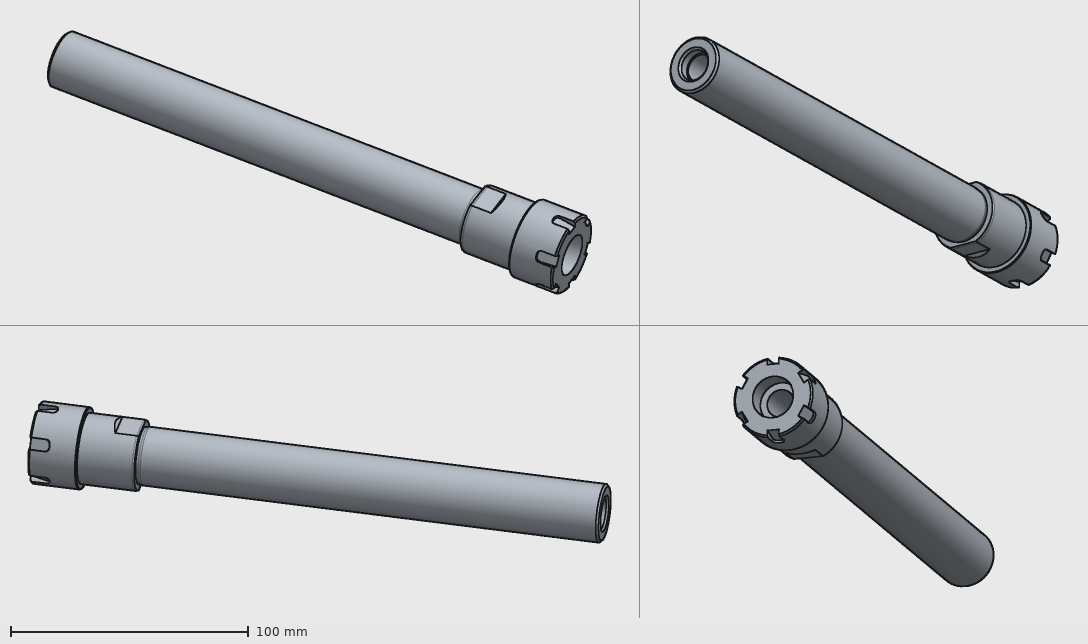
import cadquery as cq
import math

total_length = 245.0
nut_length = 20.8
collar_length = 24.5
nut_rear_x = total_length - nut_length
collar_rear_x = nut_rear_x - collar_length

shank_diameter = 25.0
shank_chamfer = 1.0
groove_diameter = 24.5
groove_width = 2.0
groove_bevel_length = 1.0
collar_diameter = 30.5
collar_bevel_length = 1.0
collar_bevel_height = 0.2
nose_diameter = 26.0
nose_length = 11.0
flat_spacing = 27.5
flat_length = 10.0
flat_runout_angle = 45.0

bore_diameter = 12.0
counterbore_diameter = 13.5
counterbore_depth = 5.0
mouth_diameter = 15.5
mouth_depth = 1.0

nut_diameter = 35.0
nut_rear_bevel_length = 0.5
nut_rear_bevel_height = 0.2
nut_front_chamfer = 0.7
nut_opening_diameter = 18.1
slot_count = 6
slot_width = 5.1
slot_length = 8.8
slot_floor_front_diameter = 29.0
slot_floor_rear_diameter = 32.8
slot_corner_radius = 2.0


def revolve_profile(points):
    """Revolve a closed (x, radius) outline about the X axis."""
    outline = cq.Workplane("XY").polyline(points).close()
    return outline.revolve(360, (0, 0, 0), (1, 0, 0))


def make_holder_blank():
    shank_radius = shank_diameter / 2
    groove_radius = groove_diameter / 2
    nose_radius = nose_diameter / 2
    groove_start_x = collar_rear_x - groove_width
    nose_end_x = nut_rear_x + nose_length
    return revolve_profile([
        (0, 0),
        (0, shank_radius - shank_chamfer),
        (shank_chamfer, shank_radius),
        (groove_start_x, shank_radius),
        (groove_start_x + groove_bevel_length, groove_radius),
        (collar_rear_x, groove_radius),
        (collar_rear_x, collar_diameter / 2),
        (nut_rear_x, collar_diameter / 2),
        (nut_rear_x, nose_radius),
        (nose_end_x, nose_radius),
        (nose_end_x, 0),
    ])


def make_flat_cutter():
    """Cutter for the upper spanner flat, ending in a sloped run-out."""
    flat_z = flat_spacing / 2
    top_z = collar_diameter
    flat_end_x = collar_rear_x + flat_length
    runout_length = (top_z - flat_z) / math.tan(math.radians(flat_runout_angle))
    outline = cq.Workplane("XZ").polyline([
        (collar_rear_x, flat_z),
        (flat_end_x, flat_z),
        (flat_end_x + runout_length, top_z),
        (collar_rear_x, top_z),
    ]).close()
    return outline.extrude(collar_diameter / 2, both=True)


def make_bore_cutter():
    """Stepped through bore with a conical mouth at the rear end."""
    bore_radius = bore_diameter / 2
    counterbore_radius = counterbore_diameter / 2
    return revolve_profile([
        (0, 0),
        (0, mouth_diameter / 2),
        (mouth_depth, counterbore_radius),
        (counterbore_depth, counterbore_radius),
        (counterbore_depth, bore_radius),
        (total_length, bore_radius),
        (total_length, 0),
    ])


def bevel_collar_rear(holder):
    """Shallow bevel on the rear rim of the collar, along its arcs and flats."""
    plane_tolerance = 0.02
    rim_box = cq.selectors.BoxSelector(
        (collar_rear_x - plane_tolerance, -nut_diameter, -nut_diameter),
        (collar_rear_x + plane_tolerance, nut_diameter, nut_diameter),
        boundingbox=True,
    )
    rear_edges = holder.edges(rim_box).vals()
    rim_edges = [edge for edge in rear_edges if not edge.IsClosed()]
    solid = holder.val().chamfer(collar_bevel_height, collar_bevel_length, rim_edges)
    return cq.Workplane(solid)


def make_holder():
    holder = make_holder_blank()
    flat_cutter = make_flat_cutter()
    for angle in (0, 180):
        holder = holder.cut(flat_cutter.rotate((0, 0, 0), (1, 0, 0), angle))
    holder = bevel_collar_rear(holder)
    return holder.cut(make_bore_cutter())


def make_slot_cutter():
    """Cutter for the nut slot at the top, its floor sloping inwards to the front."""
    rear_x = total_length - slot_length
    front_floor_z = slot_floor_front_diameter / 2
    rear_floor_z = slot_floor_rear_diameter / 2
    cutter = cq.Workplane("XZ").polyline([
        (rear_x, rear_floor_z),
        (total_length, front_floor_z),
        (total_length, nut_diameter),
        (rear_x, nut_diameter),
    ]).close().extrude(slot_width / 2, both=True)
    return cutter.edges("|Z and <X").fillet(slot_corner_radius)


def make_nut():
    nut_radius = nut_diameter / 2
    opening_radius = nut_opening_diameter / 2
    nose_radius = nose_diameter / 2
    nose_end_x = nut_rear_x + nose_length
    nut = revolve_profile([
        (nut_rear_x, nose_radius),
        (nut_rear_x, nut_radius - nut_rear_bevel_height),
        (nut_rear_x + nut_rear_bevel_length, nut_radius),
        (total_length - nut_front_chamfer, nut_radius),
        (total_length, nut_radius - nut_front_chamfer),
        (total_length, opening_radius),
        (nose_end_x, opening_radius),
        (nose_end_x, nose_radius),
    ])
    slot_cutter = make_slot_cutter()
    for index in range(slot_count):
        angle = index * 360 / slot_count
        nut = nut.cut(slot_cutter.rotate((0, 0, 0), (1, 0, 0), angle))
    return nut


holder = make_holder()
nut = make_nut()
result = cq.Compound.makeCompound([holder.val(), nut.val()])